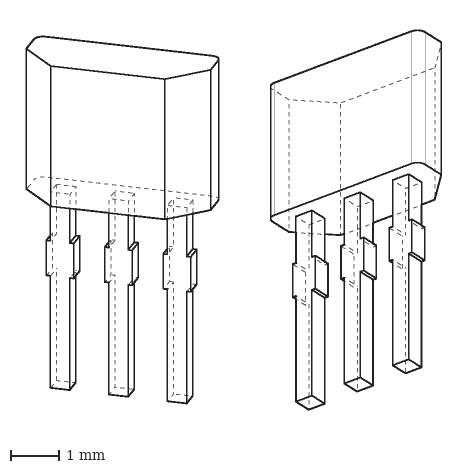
import cadquery as cq

total_height = 7.55
body_width = 4.0
body_depth = 1.52
body_height = 3.15
front_chamfer = 0.76
rear_fillet = 0.205

lead_count = 3
lead_pitch = 1.27
lead_width = 0.42
lead_depth = 0.44
collar_width = 0.6
collar_bottom = 2.515
collar_height = 0.785

body_bottom = total_height - body_height
lead_front = front_chamfer


def make_body():
    """Block with chamfered front edges and rounded rear edges."""
    block = cq.Workplane("XY").box(
        body_width, body_depth, body_height, centered=(True, False, False)
    )
    block = block.edges("|Z and <Y").chamfer(front_chamfer)
    block = block.edges("|Z and >Y").fillet(rear_fillet)
    return block.translate((0, 0, body_bottom))


def make_lead(x):
    """Straight lead with a wider collar, centred at x."""
    shaft = cq.Workplane("XY").box(
        lead_width, lead_depth, body_bottom, centered=(True, False, False)
    )
    collar = cq.Workplane("XY").box(
        collar_width, lead_depth, collar_height, centered=(True, False, False)
    )
    lead = shaft.union(collar.translate((0, 0, collar_bottom)))
    return lead.translate((x, lead_front, 0))


result = make_body()
for index in range(lead_count):
    lead_x = (index - (lead_count - 1) / 2) * lead_pitch
    result = result.union(make_lead(lead_x))